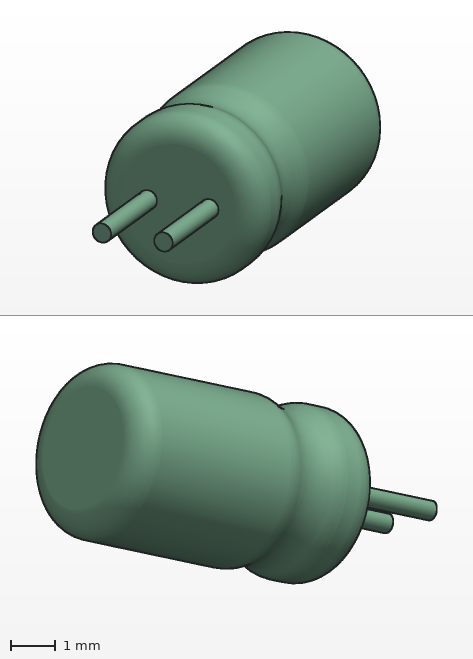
import cadquery as cq
import math

can_diameter = 4.0
can_length = 7.0
end_fillet = 0.6

lead_diameter = 0.45
lead_length = 2.5
lead_pitch = 1.5

groove_center = 1.8
groove_depth = 0.2
groove_half_width = 0.83
groove_arc_half_width = 0.46

can_radius = can_diameter / 2

groove_angle = 2 * math.atan(groove_depth / groove_half_width)
concave_radius = groove_arc_half_width / math.sin(groove_angle)
convex_radius = (groove_half_width - groove_arc_half_width) / math.sin(groove_angle)
groove_bottom_radius = can_radius - groove_depth


def convex_point(angle, side):
    """Point on the convex blend, at an angle from its tangency with the can wall."""
    radius = can_radius - convex_radius * (1 - math.cos(angle))
    offset = groove_half_width - convex_radius * math.sin(angle)
    return (radius, groove_center + side * offset)


def make_can():
    """Solid can, revolved about Y from its half outline."""
    half_turn = groove_angle / 2
    corner_inset = end_fillet * (1 - math.cos(math.pi / 4))
    profile = (
        cq.Workplane("XY")
        .moveTo(0, 0)
        .lineTo(can_radius - end_fillet, 0)
        .threePointArc((can_radius - corner_inset, corner_inset), (can_radius, end_fillet))
        .lineTo(*convex_point(0, -1))
        .threePointArc(convex_point(half_turn, -1), convex_point(groove_angle, -1))
        .threePointArc((groove_bottom_radius, groove_center), convex_point(groove_angle, 1))
        .threePointArc(convex_point(half_turn, 1), convex_point(0, 1))
        .lineTo(can_radius, can_length - end_fillet)
        .threePointArc(
            (can_radius - corner_inset, can_length - corner_inset),
            (can_radius - end_fillet, can_length),
        )
        .lineTo(0, can_length)
        .close()
    )
    return profile.revolve(360, (0, 0, 0), (0, 1, 0))


def make_leads():
    """Pair of round leads standing on the seat of the can."""
    return (
        cq.Workplane("XZ")
        .pushPoints([(-lead_pitch / 2, 0), (lead_pitch / 2, 0)])
        .circle(lead_diameter / 2)
        .extrude(lead_length)
    )


result = make_can().union(make_leads())